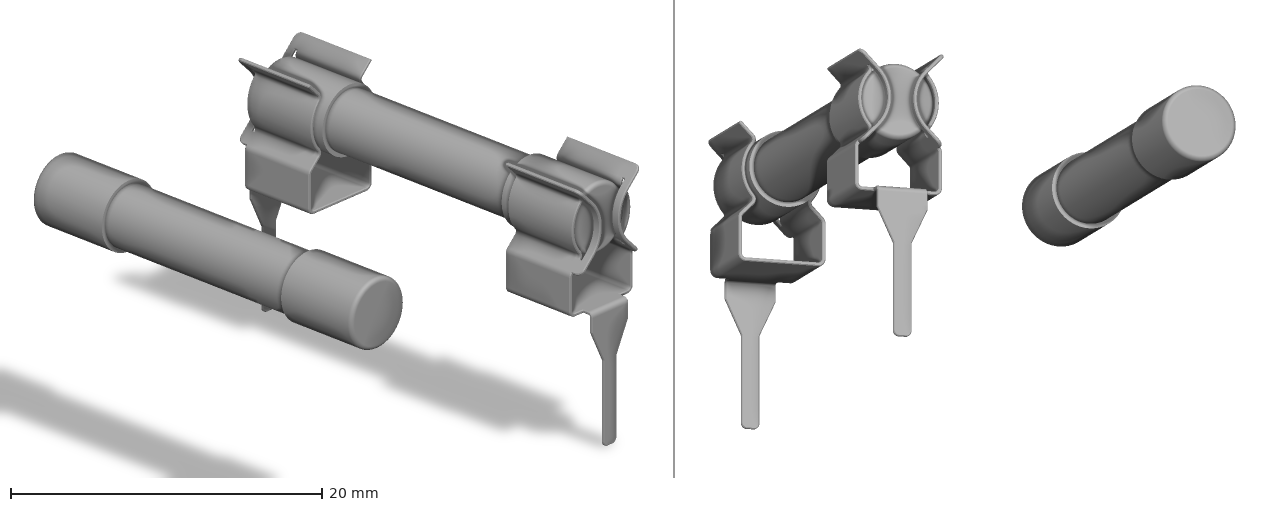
import cadquery as cq
import math


fuse_length = 28.32
cap_radius = 2.5
cap_length = 6.2
cap_edge_radius = 0.3
glass_radius = 2.2

overall_length = 30.45
overall_width = 26.0
sheet = 0.25
rim_chamfer = 0.05
bend_inner_radius = 0.25
bend_radius = bend_inner_radius + sheet / 2

clip_length = 6.52
clip_half_width = 2.95
base_depth = 6.05
end_x = -overall_length / 2
stop_width = 0.6
slit_width = 0.18
wall_x = end_x + stop_width + slit_width

flare_rise = 0.2
flare_corner_radius = 0.5

tongue_bend_radius = 0.25
tongue_half_width = 1.7
pin_half_width = 0.6
taper_top = -7.25
taper_bottom = -9.53
pin_bottom = -15.65
pin_tip_radius = 0.37

cos_45 = math.sqrt(0.5)
grip_radius = cap_radius + sheet / 2
wall_y = clip_half_width - sheet / 2
base_z = -base_depth + sheet / 2
flare_tip_y = clip_half_width - cos_45 * sheet / 2
corner_z = -(wall_y + flare_rise)
corner_setback = bend_radius * math.tan(math.radians(22.5))

neck_offset = flare_rise - bend_radius / cos_45
neck_reach = grip_radius + bend_radius
neck_y = (math.sqrt(2 * neck_reach**2 - neck_offset**2) - neck_offset) / 2
neck_z = neck_y + neck_offset
neck_tangent_y = neck_y - cos_45 * bend_radius
grip_end_y = neck_y * grip_radius / neck_reach
grip_end_z = neck_z * grip_radius / neck_reach

stop_radius = grip_radius
stop_tangent_z = cos_45 * stop_radius
stop_tangent_y = stop_tangent_z - flare_rise
stop_inner_y = stop_tangent_y - (1 - cos_45) * stop_radius

joint_y = neck_tangent_y + sheet
flare_bottom_y = wall_y - cos_45 * corner_setback


def on_flare(y, side):
    """Point on the middle of the upper (side 1) or lower (side -1) flare."""
    return (y, side * (y + flare_rise))


def on_circle(center, radius, angle):
    """Point on a circle at the given angle in degrees."""
    a = math.radians(angle)
    return (center[0] + radius * math.cos(a), center[1] + radius * math.sin(a))


def sheet_along(path, start_x, length):
    """Thicken a line in the YZ plane to a sheet, extrude it along X and chamfer its rims."""
    band = path.offset2D(sheet / 2).extrude(length)
    return band.faces("<X or >X").edges().chamfer(rim_chamfer).translate((start_x, 0, 0))


def gripping_wall():
    """Half of the channel: curved wall around the cap, lower side wall and base."""
    corner_center = (wall_y - bend_radius, corner_z - corner_setback)
    base_center = (wall_y - bend_radius, base_z + bend_radius)
    path = (
        cq.Workplane("YZ")
        .moveTo(*on_flare(joint_y, 1))
        .lineTo(*on_flare(neck_tangent_y, 1))
        .threePointArc((neck_y - bend_radius, neck_z), (grip_end_y, grip_end_z))
        .threePointArc((grip_radius, 0), (grip_end_y, -grip_end_z))
        .threePointArc((neck_y - bend_radius, -neck_z), on_flare(neck_tangent_y, -1))
        .lineTo(*on_flare(flare_bottom_y, -1))
        .threePointArc(on_circle(corner_center, bend_radius, 22.5), (wall_y, corner_center[1]))
        .lineTo(wall_y, base_center[1])
        .threePointArc(on_circle(base_center, bend_radius, -45), (base_center[0], base_z))
        .lineTo(0, base_z)
    )
    return sheet_along(path, wall_x, end_x + clip_length - wall_x)


def stop_strip():
    """Springy strip between the flares at the outer end, bowed towards the fuse axis."""
    path = (
        cq.Workplane("YZ")
        .moveTo(*on_flare(joint_y, 1))
        .lineTo(stop_tangent_y, stop_tangent_z)
        .threePointArc((stop_inner_y, 0), (stop_tangent_y, -stop_tangent_z))
        .lineTo(*on_flare(joint_y, -1))
    )
    return sheet_along(path, end_x, stop_width)


def flare(outer_y, side):
    """Flat 45 degree plate from the neck outwards, its outer corner rounded."""
    slope_length = (outer_y - neck_tangent_y) / cos_45
    plate = (
        cq.Workplane("XY")
        .box(clip_length, slope_length, sheet, centered=(False, False, True))
        .edges("|Z and <X and >Y")
        .fillet(flare_corner_radius)
        .faces("<Z or >Z")
        .edges()
        .chamfer(rim_chamfer)
    )
    start_y, start_z = on_flare(neck_tangent_y, side)
    return plate.rotate((0, 0, 0), (1, 0, 0), side * 45).translate((end_x, start_y, start_z))


def solder_pin():
    """Tongue bent down from the base, tapering to a narrow pin."""
    middle_x = end_x + sheet / 2
    bend_x = middle_x + tongue_bend_radius
    bend_z = base_z - tongue_bend_radius
    bend = (
        cq.Workplane("XZ")
        .moveTo(wall_x + sheet, base_z)
        .lineTo(bend_x, base_z)
        .threePointArc(on_circle((bend_x, bend_z), tongue_bend_radius, 135), (middle_x, bend_z))
        .lineTo(middle_x, bend_z - sheet)
        .offset2D(sheet / 2)
        .extrude(tongue_half_width, both=True)
        .faces("<Y or >Y")
        .edges()
        .chamfer(rim_chamfer)
    )
    blade = (
        cq.Workplane("YZ", origin=(end_x, 0, 0))
        .polyline([
            (-tongue_half_width, bend_z),
            (-tongue_half_width, taper_top),
            (-pin_half_width, taper_bottom),
            (-pin_half_width, pin_bottom),
            (pin_half_width, pin_bottom),
            (pin_half_width, taper_bottom),
            (tongue_half_width, taper_top),
            (tongue_half_width, bend_z),
        ])
        .close()
        .extrude(sheet)
        .edges("|X and <Z")
        .fillet(pin_tip_radius)
        .faces("<X or >X")
        .edges()
        .chamfer(rim_chamfer)
    )
    return bend.union(blade)


def make_clip():
    """Left clip, its stop strips and solder pin at the outer end."""
    half = (
        gripping_wall()
        .union(stop_strip())
        .union(flare(flare_tip_y, 1))
        .union(flare(flare_bottom_y, -1))
    )
    return half.union(half.mirror("XZ")).union(solder_pin())


def make_fuse(axis_y):
    """Glass tube between two metal caps, lying along X."""
    fuse = cq.Workplane("YZ").circle(glass_radius).extrude(fuse_length / 2, both=True)
    for cap_start in (-fuse_length / 2, fuse_length / 2 - cap_length):
        cap = cq.Workplane("YZ", origin=(cap_start, 0, 0)).circle(cap_radius).extrude(cap_length)
        fuse = fuse.union(cap)
    fuse = fuse.faces("<X or >X").edges().fillet(cap_edge_radius)
    return fuse.translate((0, axis_y, 0))


left_clip = make_clip()
right_clip = left_clip.mirror("YZ")
spare_fuse_y = clip_half_width + cap_radius - overall_width
fuses = [make_fuse(axis_y) for axis_y in (0, spare_fuse_y)]

result = cq.Compound.makeCompound([
    left_clip.val(),
    right_clip.val(),
    *[fuse.val() for fuse in fuses],
])